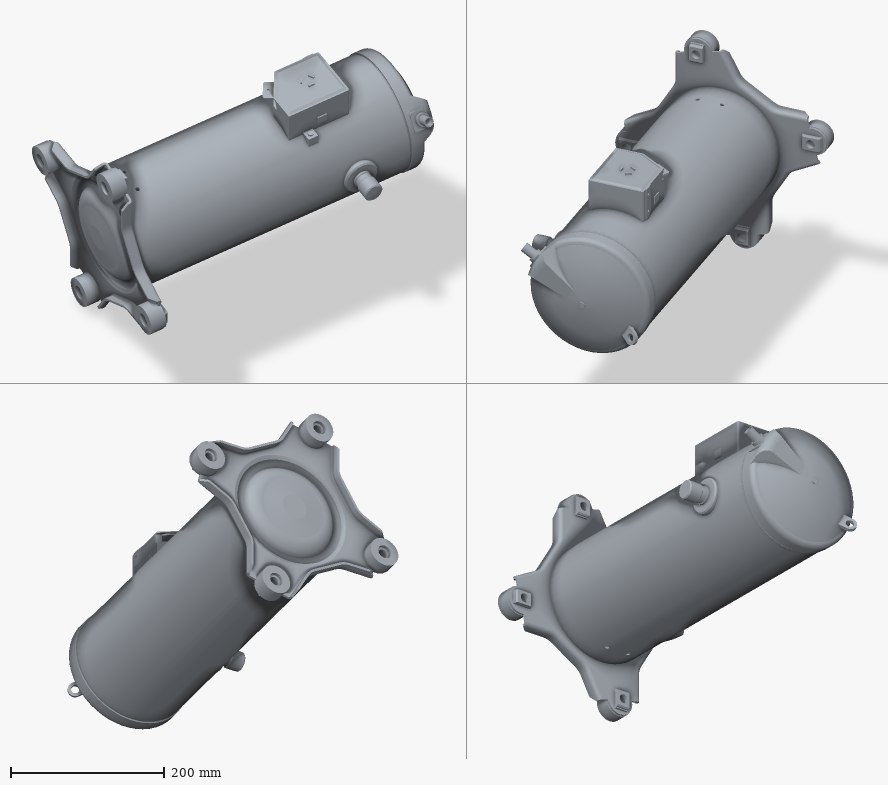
import cadquery as cq
import math

overall_length = 482.5

shell_radius = 83.5
shell_top = 435.5
weld_gap = 2.5
weld_radius = 82.5

cap_radius = 85.0
cap_skirt_top = 451.0
knuckle_radius = 77.5
knuckle_top = 460.5
dome_top = 481.0
tip_radius = 4.0

groove_mouth = (78.0, 22.0)
groove_floor = (72.0, 28.0)
groove_inner = (67.5, 26.0)
dome_side = (61.5, 17.5)
dome_shoulder = (45.0, 11.5)
dome_flat = (18.0, 8.0)

arm_count = 4
base_angle = -14.0
plate_top = 23.0
plate_thickness = 3.5
flange_bottom = 6.8
arm_reach = 134.0
arm_end_half_width = 34.5
arm_taper = 14.0
waist_distance = 95.0
waist_radius = 26.5
waist_limit = 111.0
flange_bend = 5.5
flange_end_cut = 9.0
end_overrun = 9.5
plate_bottom = plate_top - plate_thickness

foot_spacing = 190.0
foot_radius = 20.7
foot_pad_radius = 20.0
foot_circle_radius = foot_spacing / math.sqrt(2)
foot_bore = 12.5
foot_counterbore = 19.5
foot_counterbore_depth = 5.0
clip_length = 27.5
clip_width = 19.0
clip_height = 7.0
clip_base_height = 3.0
clip_cap_length = 25.0
clip_chamfer = 2.0

discharge_angle = base_angle + 180 / arm_count
discharge_height = 459.5
discharge_reach = 107.0
discharge_diameter = 13.5
discharge_bore = 11.0
collar_diameter = 19.0
collar_reach = 90.5

bulge_bottom = cap_skirt_top
bulge_top = 479.5
bulge_reach = 96.5
bulge_base_near = 15.5
bulge_base_far = 43.5
bulge_crest_near = 6.0
bulge_crest_far = 19.5
bulge_round = 14.5

seat_bottom = 445.0
seat_height = 24.0
seat_width = 28.0
seat_reach = 86.0
seat_corner = 4.0

eye_radius = 77.0
eye_height = 471.0
eye_tilt = 30.0
eye_width = 19.5
eye_hole = 11.0
eye_thickness = 5.0
eye_length = 19.5

suction_height = 359.0
suction_pad_diameter = 49.5
suction_pad_reach = 88.0
suction_pad_chamfer = 2.0
suction_collar_diameter = 25.0
suction_collar_reach = 91.0
suction_neck_diameter = 23.0
suction_neck_reach = 99.0
suction_diameter = 26.5
suction_reach = 119.0
suction_chamfer = 1.5

box_left = -39.0
box_right = 39.5
box_bottom = 277.0
box_top = 369.5
box_height = 121.0
box_seat = 58.0
box_cut_x = 0.5
box_cut_y = 302.0
box_corner = 3.0
lid_height = 1.5
lid_rim = 3.0
lid_border = 3.0
lid_bottom = box_height - lid_height

recess_bottom = 103.5
recess_top = 117.5
recess_depth = 4.0
tab_offset = -3.0
tab_width = 28.0
tab_reach = 14.5
tab_thickness = 2.5
tab_corner = 3.0
tab_hole = 3.2

bar_center_height = 330.0
bar_count = 3
bar_circle_radius = 8.5
bar_width = 2.0
bar_length = 8.5
bar_height = 3.0

latch_depth = 1.5
latch_length = 13.5
latch_height = 12.5
latch_center_height = 327.5
latch_z = 88.0
latch_chamfer = 1.2

hinge_center_height = 356.0
hinge_length = 11.5
hinge_hole = 4.5
hinge_rib_height = 348.0
hinge_rib_length = 5.0
hinge_rib_depth = 0.7
hinge_hole_z = (85.5, 110.5)

lug_x = 47.5
lug_center_height = 305.5
lug_length = 14.5
lug_top = 77.0
screw_diameter = 7.5
screw_height = 2.5

shell_hole_diameter = 6.0
shell_hole_height = 59.5
shell_hole_spacing = 34.5


def across(height):
    """Sketch plane normal to the axis, drawn in X and Z; extrude negative to go toward +Y."""
    return cq.Workplane("XZ", origin=(0, height, 0))


def spin(shape, angle):
    """Turn a shape about the Y axis, from +X toward +Z."""
    return shape.rotate((0, 0, 0), (0, 1, 0), -angle)


def shell():
    knuckle_mid = math.sqrt(0.5)
    knuckle_point = (
        knuckle_radius + (cap_radius - knuckle_radius) * knuckle_mid,
        cap_skirt_top + (knuckle_top - cap_skirt_top) * knuckle_mid,
    )
    rise = dome_top - knuckle_top
    sphere = (knuckle_radius ** 2 + rise ** 2) / (2 * rise)

    def dome_at(radius):
        return dome_top - sphere + math.sqrt(sphere ** 2 - radius ** 2)

    dome_mid = knuckle_radius / 2
    profile = (
        cq.Workplane("XY")
        .moveTo(0, dome_flat[1])
        .lineTo(*dome_flat)
        .lineTo(*dome_shoulder)
        .threePointArc(dome_side, groove_inner)
        .threePointArc(groove_floor, groove_mouth)
        .lineTo(shell_radius, plate_bottom)
        .lineTo(shell_radius, shell_top)
        .lineTo(weld_radius, shell_top)
        .lineTo(weld_radius, shell_top + weld_gap)
        .lineTo(cap_radius, shell_top + weld_gap)
        .lineTo(cap_radius, cap_skirt_top)
        .threePointArc(knuckle_point, (knuckle_radius, knuckle_top))
        .threePointArc((dome_mid, dome_at(dome_mid)), (tip_radius, dome_at(tip_radius)))
        .lineTo(tip_radius, overall_length)
        .lineTo(0, overall_length)
        .close()
    )
    return profile.revolve(360, (0, 0, 0), (0, 1, 0))


def star(height, inset, reach):
    """Four-armed outline, moved inward by inset, with arms cut at reach."""
    slope = math.tan(math.radians(arm_taper))
    end = arm_end_half_width - inset / math.cos(math.radians(arm_taper))
    diagonal = math.sqrt(2) * (waist_distance - inset)
    waist_u = (diagonal - end - arm_reach * slope) / (1 - slope)
    waist_v = diagonal - waist_u
    reach_v = end + (arm_reach - reach) * slope
    corners = [(waist_u, -waist_v), (reach, -reach_v), (reach, reach_v), (waist_u, waist_v)]
    points = []
    for arm in range(arm_count):
        turn = 2 * math.pi * arm / arm_count
        for u, v in corners:
            points.append((
                u * math.cos(turn) - v * math.sin(turn),
                u * math.sin(turn) + v * math.cos(turn),
            ))
    return across(height).polyline(points).close()


def round_waist(body, radius):
    """Round the upright edges near the shell, where the arms meet."""
    selector = cq.selectors.BoxSelector(
        (-waist_limit, 0, -waist_limit), (waist_limit, plate_top, waist_limit)
    )
    return body.edges("|Y").edges(selector).fillet(radius)


def base_plate():
    overrun = arm_reach + end_overrun
    depth = plate_top - flange_bottom
    outer = round_waist(star(plate_top, 0, overrun).extrude(depth), waist_radius)
    outer = outer.faces(">Y").edges().fillet(flange_bend)
    inner = star(plate_bottom, plate_thickness, overrun + end_overrun).extrude(depth)
    inner = round_waist(inner, waist_radius + plate_thickness)
    inner = inner.faces(">Y").edges().fillet(flange_bend - plate_thickness)
    trim = across(plate_top).rect(2 * arm_reach, 2 * arm_reach).extrude(depth)
    trim = trim.faces("<Y").edges().chamfer(flange_end_cut)
    opening = across(plate_top).circle(shell_radius).extrude(depth)
    return spin(outer.cut(inner).intersect(trim).cut(opening), base_angle)


def foot_place(arm):
    angle = math.radians(base_angle + 360 * arm / arm_count)
    return foot_circle_radius * math.cos(angle), foot_circle_radius * math.sin(angle)


def foot(arm):
    x, z = foot_place(arm)
    pad = across(plate_top).center(x, z).circle(foot_pad_radius).extrude(plate_top)
    bush = across(plate_bottom).center(x, z).circle(foot_radius).extrude(plate_bottom)
    clip = across(plate_top).rect(clip_cap_length, clip_width).extrude(-clip_height)
    clip = clip.faces(">Y").edges("|Z").chamfer(clip_chamfer)
    clip = clip.union(across(plate_top).rect(clip_length, clip_width).extrude(-clip_base_height))
    clip = spin(clip, 360 * arm / arm_count).translate((x, 0, z))
    return pad.union(bush).union(clip)


def foot_holes(arm):
    x, z = foot_place(arm)
    bore = across(0).center(x, z).circle(foot_bore / 2).extrude(-(plate_top + clip_height))
    counterbore = across(0).center(x, z).circle(foot_counterbore / 2)
    return bore.union(counterbore.extrude(-foot_counterbore_depth))


def discharge():
    height = bulge_top - bulge_bottom

    def wedge(near, far):
        return [(0, -near), (bulge_reach, -far), (bulge_reach, far), (0, near)]

    bulge = (
        across(bulge_bottom).polyline(wedge(bulge_base_near, bulge_base_far)).close()
        .workplane(offset=-height)
        .polyline(wedge(bulge_crest_near, bulge_crest_far)).close()
        .loft(ruled=True)
    )
    wall = across(bulge_bottom).circle(cap_radius).extrude(-height)
    bulge = bulge.intersect(wall.faces(">Y").edges().fillet(bulge_round))
    seat_center = seat_bottom + seat_height / 2
    seat = cq.Workplane("YZ", origin=(0, seat_center, 0)).rect(seat_height, seat_width)
    bulge = bulge.union(seat.extrude(seat_reach).edges("|X").fillet(seat_corner))
    axis = cq.Workplane("YZ", origin=(0, discharge_height, 0))
    collar = axis.circle(collar_diameter / 2).extrude(collar_reach)
    pipe = axis.circle(discharge_diameter / 2).extrude(discharge_reach)
    bore = (
        axis.workplane(offset=collar_reach)
        .circle(discharge_bore / 2)
        .extrude(discharge_reach - collar_reach)
    )
    return spin(bulge.union(collar).union(pipe).cut(bore), discharge_angle)


def lifting_eye():
    flat = across(-eye_thickness / 2)
    head = flat.circle(eye_width / 2).extrude(-eye_thickness)
    shank = flat.center(-eye_length / 2, 0).rect(eye_length, eye_width).extrude(-eye_thickness)
    hole = flat.circle(eye_hole / 2).extrude(-eye_thickness)
    tongue = head.union(shank).cut(hole)
    tongue = tongue.rotate((0, 0, 0), (0, 0, 1), eye_tilt)
    return spin(tongue.translate((eye_radius, eye_height, 0)), discharge_angle + 180)


def suction_port():
    port = cq.Workplane("YZ", origin=(0, suction_height, 0))
    pad = port.circle(suction_pad_diameter / 2).extrude(suction_pad_reach)
    pad = pad.faces(">X").chamfer(suction_pad_chamfer)
    neck = port.circle(suction_neck_diameter / 2).extrude(suction_neck_reach)
    stub = (
        port.workplane(offset=suction_neck_reach)
        .circle(suction_diameter / 2)
        .extrude(suction_reach - suction_neck_reach)
    )
    stub = stub.faces("<X or >X").edges().chamfer(suction_chamfer)
    collar = port.circle(suction_collar_diameter / 2).extrude(suction_collar_reach)
    return pad.union(collar).union(neck).union(stub)


def terminal_box():
    outline = (
        cq.Workplane("XY", origin=(0, 0, box_seat))
        .moveTo(box_cut_x, box_bottom)
        .lineTo(box_right, box_bottom)
        .lineTo(box_right, box_top)
        .lineTo(box_left, box_top)
        .lineTo(box_left, box_cut_y)
        .close()
    )
    box = outline.extrude(lid_bottom - box_seat)
    box = box.edges("|Z and >Y").fillet(box_corner)
    slope = math.degrees(math.atan2(lid_border, lid_height))
    rim = box.faces(">Z").wires().toPending().offset2D(-lid_rim)
    return rim.extrude(lid_height, taper=slope)


def cut_corner(height):
    """Sketch plane on the box's slanted side: x runs along the side, y points into the box."""
    middle = ((box_left + box_cut_x) / 2, (box_bottom + box_cut_y) / 2, height)
    along = (box_cut_x - box_left, box_bottom - box_cut_y, 0)
    return cq.Workplane(cq.Plane(origin=middle, xDir=along, normal=(0, 0, 1)))


def cable_recess():
    slot = cut_corner(recess_bottom).rect(2 * box_right, 2 * recess_depth)
    return slot.extrude(recess_top - recess_bottom)


def cable_tab():
    tab = (
        cut_corner(recess_bottom)
        .center(tab_offset, 0)
        .rect(tab_width, 2 * tab_reach)
        .extrude(tab_thickness)
        .edges("(|Z and <Y) or (|Z and <X)").fillet(tab_corner)
    )
    hole = cut_corner(recess_bottom).center(tab_offset, -tab_reach / 2).circle(tab_hole / 2)
    return tab.cut(hole.extrude(tab_thickness))


def lid_bars():
    """Three short bars raised on the lid, set around a circle."""
    return (
        cq.Workplane("XY", origin=(0, bar_center_height, box_height))
        .polarArray(bar_circle_radius, 0, 360, bar_count)
        .rect(bar_width, bar_length)
        .extrude(bar_height)
    )


def side_latches():
    width = box_right - box_left + 2 * latch_depth
    latches = cq.Workplane("XY").box(width, latch_length, latch_height)
    latches = latches.faces("<Z").edges("|Y").chamfer(latch_chamfer)
    return latches.translate(((box_left + box_right) / 2, latch_center_height, latch_z))


def hinge_pad():
    pad = (
        cq.Workplane("YZ", origin=(box_left, hinge_center_height, 0))
        .center(0, (box_seat + lid_bottom) / 2)
        .rect(hinge_length, lid_bottom - box_seat)
        .extrude(-latch_depth)
    )
    holes = (
        cq.Workplane("YZ", origin=(box_left, hinge_center_height, 0))
        .pushPoints([(0, z) for z in hinge_hole_z])
        .circle(hinge_hole / 2)
        .extrude(-latch_depth)
    )
    rib = (
        cq.Workplane("YZ", origin=(box_left, hinge_rib_height, 0))
        .center(0, (box_seat + lid_bottom) / 2)
        .rect(hinge_rib_length, lid_bottom - box_seat)
        .extrude(-hinge_rib_depth)
    )
    return pad.cut(holes).union(rib)


def ground_terminal():
    lug = cq.Workplane("XY", origin=(lug_x, lug_center_height, box_seat))
    return (
        lug.rect(lug_length, lug_length).extrude(lug_top - box_seat)
        .union(lug.circle(screw_diameter / 2).extrude(lug_top + screw_height - box_seat))
    )


def shell_holes():
    return (
        cq.Workplane("XY", origin=(0, shell_hole_height, 0))
        .pushPoints([(-shell_hole_spacing / 2, 0), (shell_hole_spacing / 2, 0)])
        .circle(shell_hole_diameter / 2)
        .extrude(2 * shell_radius, both=True)
    )


result = shell().union(base_plate())
for arm in range(arm_count):
    result = result.union(foot(arm))
for arm in range(arm_count):
    result = result.cut(foot_holes(arm))
result = result.union(discharge()).union(lifting_eye()).union(suction_port())
result = result.union(terminal_box().cut(cable_recess()))
for part in (cable_tab(), lid_bars(), side_latches(), hinge_pad(), ground_terminal()):
    result = result.union(part)
result = result.cut(shell_holes())